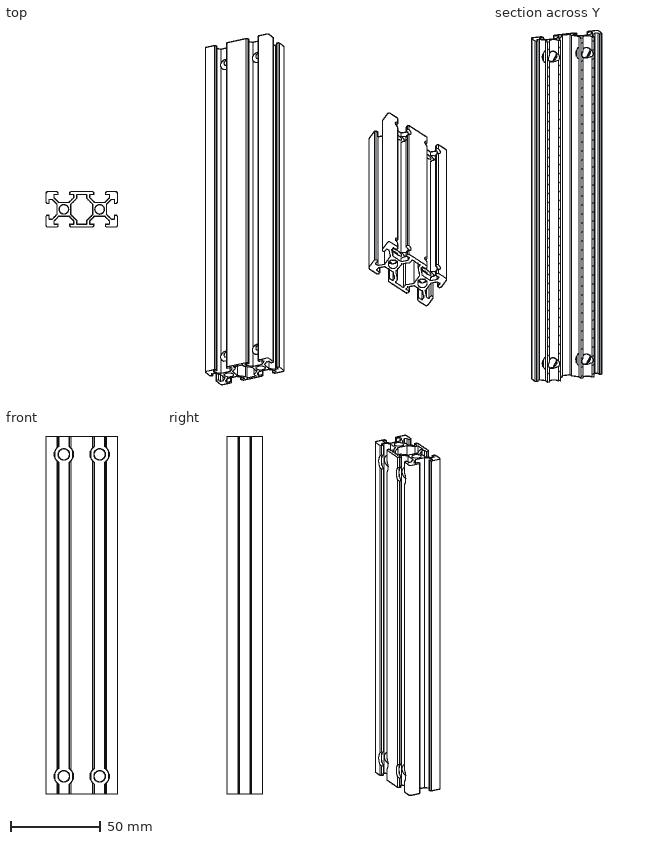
import cadquery as cq

cell = 20.0
length = 200.0
cell_centers = (-cell / 2, cell / 2)
outer_fillet = 1.1

slot_mouth = 6.5
lip_thickness = 1.8
lip_chamfer = 0.7
slot_width = 11.0
core_width = 7.8
web_thickness = 1.5
chamber_wall = 1.8
core_bore_diameter = 5.2

screw_diameter = 6.2
head_diameter = 10.5
screw_end_distance = 10.0

half_cell = cell / 2
half_core = core_width / 2
lip_inside = half_cell - lip_thickness
web_offset = web_thickness / 2**0.5


def t_slot(center_x, angle):
    """Full-length slot cutter, drawn opening to +Y and turned about the cell axis."""
    half_mouth = slot_mouth / 2
    half_slot = slot_width / 2
    right_side = [
        (half_core - web_offset, half_core),
        (half_slot, half_slot + web_offset),
        (half_slot, lip_inside),
        (half_mouth, lip_inside),
        (half_mouth, half_cell - lip_chamfer),
        (half_mouth + lip_chamfer, half_cell),
    ]
    left_side = [(-x, y) for x, y in reversed(right_side)]
    cutter = cq.Workplane("XY").polyline(right_side + left_side).close().extrude(length)
    return cutter.rotate((0, 0, 0), (0, 0, 1), angle).translate((center_x, 0, 0))


def central_chamber():
    """Closed chamber between the two cores, bounded by walls and diagonal webs."""
    half_floor = half_cell - half_core
    half_top = half_cell - slot_width / 2 - chamber_wall
    wall_end = half_cell - half_top - web_offset
    core_end = half_core - web_offset
    upper = [
        (half_floor, core_end),
        (half_top, wall_end),
        (half_top, lip_inside),
        (-half_top, lip_inside),
        (-half_top, wall_end),
        (-half_floor, core_end),
    ]
    lower = [(x, -y) for x, y in reversed(upper)]
    return cq.Workplane("XY").polyline(upper + lower).close().extrude(length)


def counterbored_hole(center_x, z):
    """Screw hole right through along Y, with the head bore reaching the slot floor."""
    front_face = cq.Workplane("XZ", origin=(center_x, -half_cell, z))
    screw = front_face.circle(screw_diameter / 2).extrude(-cell)
    head = front_face.circle(head_diameter / 2).extrude(-(half_cell - half_core))
    return screw.union(head)


result = cq.Workplane("XY").rect(2 * cell, cell).extrude(length).edges("|Z").fillet(outer_fillet)

for x in cell_centers:
    for angle in (0, 180):
        result = result.cut(t_slot(x, angle))
result = result.cut(t_slot(cell_centers[0], 90))
result = result.cut(t_slot(cell_centers[1], -90))

result = result.cut(central_chamber())
core_bores = cq.Workplane("XY").pushPoints([(x, 0) for x in cell_centers])
result = result.cut(core_bores.circle(core_bore_diameter / 2).extrude(length))

for x in cell_centers:
    for z in (screw_end_distance, length - screw_end_distance):
        result = result.cut(counterbored_hole(x, z))